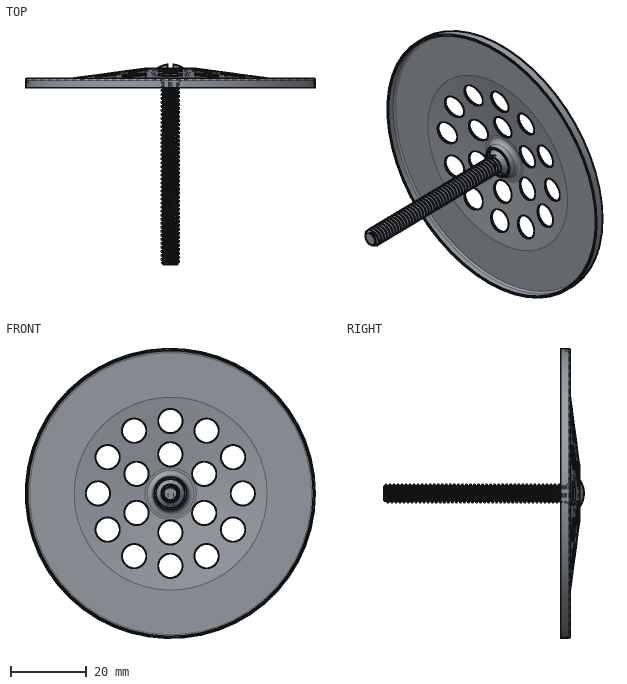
import cadquery as cq
import math


strainer_radius = 38.1
sheet_thickness = 0.495
rim_height = 2.6
outer_bend_radius = 0.57
inner_bend_radius = 0.495
cone_outer_radius = 25.4
flat_ring_radius = 6.8
flat_ring_top = 5.1

dimple_mouth_radius = 6.2
dimple_bend_radius = 1.5
dimple_wall_angle = 73.0
dimple_bottom = 2.2

hole_diameter = 6.3
outer_hole_count = 12
outer_hole_circle = 19.05
inner_hole_count = 6
inner_hole_circle = 10.3

head_top = 6.25
dome_radius = 5.95
slot_width = 1.45
slot_depth = 1.5
neck_half_angle = 42.0
tip_position = -46.5
thread_start = 2.0
thread_diameter = 4.8
thread_pitch = 1.06
thread_depth = 0.65
crest_width = thread_pitch / 8
ridge_base_width = thread_pitch * 7 / 8
ridge_sink = 0.1

wall_sine = math.sin(math.radians(dimple_wall_angle))
wall_cosine = math.cos(math.radians(dimple_wall_angle))
flat_ring_bottom = flat_ring_top - sheet_thickness
bend_center_height = flat_ring_bottom - dimple_bend_radius


def bend_point(radius, angle):
    """Point of the dimple bend, at an angle from straight up towards the axis."""
    turn = math.radians(angle)
    return (dimple_mouth_radius - radius * math.sin(turn), bend_center_height + radius * math.cos(turn))


def wall_radius(bend_end, height):
    """Radius of a straight dimple wall at a height, given the point where its bend ends."""
    return bend_end[0] - (bend_end[1] - height) * wall_cosine / wall_sine


upper_bend_radius = dimple_bend_radius + sheet_thickness
upper_bend_end = bend_point(upper_bend_radius, dimple_wall_angle)
lower_bend_end = bend_point(dimple_bend_radius, dimple_wall_angle)


def revolve_about_y(outline):
    return outline.close().revolve(360, (0, 0, 0), (0, 1, 0))


def ring_of_holes(count, circle_radius):
    """Cylinders along Y that cut one ring of drain holes, the first one on the X axis."""
    return (
        cq.Workplane("XZ")
        .polarArray(circle_radius, 0, 360, count)
        .circle(hole_diameter / 2)
        .extrude(-2 * flat_ring_top)
    )


def make_strainer():
    inner_rim_radius = strainer_radius - sheet_thickness
    flange_bottom = rim_height - sheet_thickness
    diagonal = math.sqrt(0.5)
    outer_bend_x = strainer_radius - outer_bend_radius
    outer_bend_y = rim_height - outer_bend_radius
    outer_reach = outer_bend_radius * diagonal
    inner_bend_x = inner_rim_radius - inner_bend_radius
    inner_bend_y = flange_bottom - inner_bend_radius
    inner_reach = inner_bend_radius * diagonal
    outline = (
        cq.Workplane("XY")
        .moveTo(inner_rim_radius, 0)
        .lineTo(strainer_radius, 0)
        .lineTo(strainer_radius, outer_bend_y)
        .threePointArc(
            (outer_bend_x + outer_reach, outer_bend_y + outer_reach),
            (outer_bend_x, rim_height),
        )
        .lineTo(cone_outer_radius, rim_height)
        .lineTo(flat_ring_radius, flat_ring_top)
        .lineTo(dimple_mouth_radius, flat_ring_top)
        .threePointArc(bend_point(upper_bend_radius, dimple_wall_angle / 2), upper_bend_end)
        .lineTo(wall_radius(upper_bend_end, dimple_bottom), dimple_bottom)
        .lineTo(wall_radius(lower_bend_end, dimple_bottom), dimple_bottom)
        .lineTo(*lower_bend_end)
        .threePointArc(
            bend_point(dimple_bend_radius, dimple_wall_angle / 2),
            (dimple_mouth_radius, flat_ring_bottom),
        )
        .lineTo(flat_ring_radius, flat_ring_bottom)
        .lineTo(cone_outer_radius, flange_bottom)
        .lineTo(inner_bend_x, flange_bottom)
        .threePointArc(
            (inner_bend_x + inner_reach, inner_bend_y + inner_reach),
            (inner_rim_radius, inner_bend_y),
        )
    )
    sheet = revolve_about_y(outline)
    sheet = sheet.cut(ring_of_holes(outer_hole_count, outer_hole_circle))
    inner_holes = ring_of_holes(inner_hole_count, inner_hole_circle)
    return sheet.cut(inner_holes.rotate((0, 0, 0), (0, 1, 0), 180 / inner_hole_count))


head_radius, seat_height = upper_bend_end
thread_radius = thread_diameter / 2
root_radius = thread_radius - thread_depth
neck_height = (head_radius - root_radius) / math.tan(math.radians(neck_half_angle))
neck_bottom = seat_height - neck_height
thread_end = tip_position - thread_pitch
envelope_radius = thread_diameter


def make_thread_ridge(start, length):
    """Right-handed helical ridge along -Y from the start height, sunk a little into the core."""
    widening = (ridge_base_width - crest_width) / thread_depth
    inner_width = ridge_base_width + ridge_sink * widening
    path = cq.Wire.makeHelix(thread_pitch, length, root_radius)
    profile = (
        cq.Workplane("XZ")
        .polyline(
            [
                (root_radius - ridge_sink, -inner_width / 2),
                (thread_radius, -crest_width / 2),
                (thread_radius, crest_width / 2),
                (root_radius - ridge_sink, inner_width / 2),
            ]
        )
        .close()
    )
    ridge = profile.sweep(cq.Workplane(path), isFrenet=True)
    return ridge.rotate((0, 0, 0), (1, 0, 0), 90).translate((0, start, 0))


def make_screw():
    dome_center = head_top - dome_radius
    dome_edge = dome_center + math.sqrt(dome_radius**2 - head_radius**2)
    dome_middle = dome_center + math.sqrt(dome_radius**2 - (head_radius / 2) ** 2)
    head = revolve_about_y(
        cq.Workplane("XY")
        .moveTo(0, head_top)
        .threePointArc((head_radius / 2, dome_middle), (head_radius, dome_edge))
        .lineTo(head_radius, seat_height)
        .lineTo(root_radius, neck_bottom)
        .lineTo(0, neck_bottom)
    )
    slot = cq.Workplane("XY").box(slot_width, 2 * slot_depth, 2 * strainer_radius)
    head = head.cut(slot.translate((0, head_top, 0)))

    core = cq.Workplane("XZ").workplane(offset=-seat_height).circle(root_radius)
    core = core.extrude(seat_height - thread_end)
    ridge = make_thread_ridge(thread_start, thread_start - thread_end)
    shank = core.union(ridge)

    tip_envelope = revolve_about_y(
        cq.Workplane("XY")
        .moveTo(0, seat_height)
        .lineTo(envelope_radius, seat_height)
        .lineTo(envelope_radius, tip_position + envelope_radius - root_radius)
        .lineTo(root_radius, tip_position)
        .lineTo(0, tip_position)
    )
    return head.union(shank.intersect(tip_envelope))


strainer = make_strainer()
screw = make_screw()
result = cq.Compound.makeCompound([strainer.val(), screw.val()])